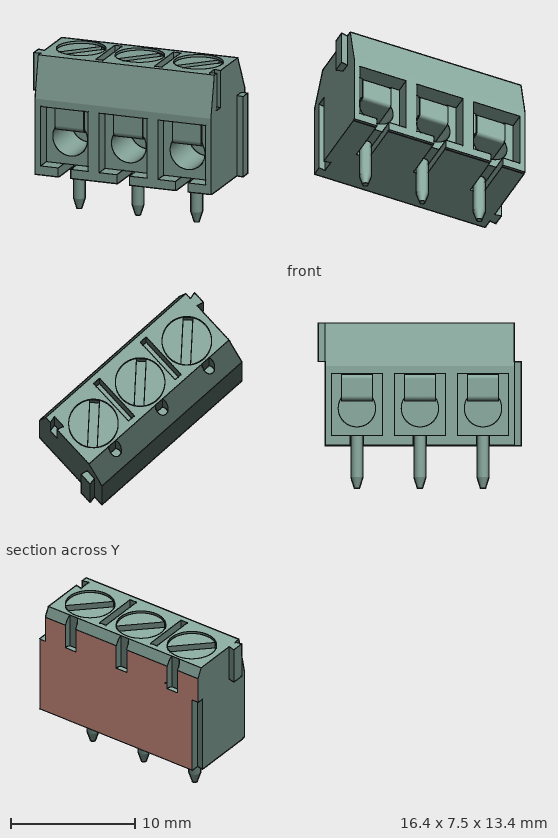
import cadquery as cq
import math


OVERALL_LENGTH = 16.4
POLES = 3
PITCH = 5.08
ROW_SHIFT = 0.02
LENGTH = POLES * PITCH
DEPTH = 7.5
HEIGHT = 9.92
FRONT_SLOPE_FOOT = 6.43
FRONT_SLOPE_RUN = 0.75
BACK_SLOPE_FOOT = 6.95
BACK_SLOPE_RUN = 1.55
BACK_RIDGE_Y = DEPTH - BACK_SLOPE_RUN
FRONT_RELIEF_DEPTH = 0.2
FRONT_RELIEF_HEIGHT = 0.05
POLE_X = [(i - (POLES - 1) / 2) * PITCH + ROW_SHIFT for i in range(POLES)]
GAP_X = [(left + right) / 2 for left, right in zip(POLE_X, POLE_X[1:])]

DOVETAIL_REACH = (OVERALL_LENGTH - LENGTH) / 2
DOVETAIL_WIDE = 1.08
FRONT_DOVETAIL_NECK = 0.8
FRONT_DOVETAIL_Y = 1.7
BACK_DOVETAIL_NECK = 0.89
BACK_DOVETAIL_Y = 6.17
DOVETAIL_SPLIT_Z = 6.79

ENTRY_WIDTH = 4.13
ENTRY_BOTTOM = 0.82
ENTRY_TOP = 5.84
ENTRY_DEPTH = 1.28
WIRE_HOLE_RADIUS = 1.51
WIRE_HOLE_Z = 3.03
WIRE_HOLE_DEPTH = 4.1

CLAMP_WIDTH = 2.5
CLAMP_BOTTOM = 3.62
CLAMP_TOP = 5.77
CLAMP_ROUND = 0.36
CLAMP_PROUD = 0.2

PIN_Y = 3.3
PIN_RADIUS = 0.5
PIN_LENGTH = 3.43
PIN_TIP_LENGTH = 0.89
PIN_TIP_RADIUS = 0.21
PIN_SLOT_WIDTH = 1.08

SCREW_Y = 3.69
SCREW_RADIUS = 2.0
SCREW_RECESS = 0.2
DRIVE_WIDTH = 0.79
DRIVE_DEPTH = 0.95
DRIVE_ANGLE = 45

GROOVE_WIDTH = 0.64
GROOVE_FRONT_Y = 1.26
GROOVE_BACK_Y = 5.45
GROOVE_DEPTH = 1.97
TEST_HOLE_RADIUS = 0.51
TEST_HOLE_Y = 6.28


def box(x_range, y_range, z_range):
    (x0, x1), (y0, y1), (z0, z1) = x_range, y_range, z_range
    return cq.Workplane("XY").box(x1 - x0, y1 - y0, z1 - z0, centered=False).translate((x0, y0, z0))


def centered_box(x, width, y_range, z_range):
    return box((x - width / 2, x + width / 2), y_range, z_range)


def cylinder(x, y, radius, bottom, top):
    return cq.Workplane("XY", origin=(x, y, bottom)).circle(radius).extrude(top - bottom)


def housing():
    profile = [
        (0, FRONT_RELIEF_HEIGHT),
        (FRONT_RELIEF_DEPTH, FRONT_RELIEF_HEIGHT),
        (FRONT_RELIEF_DEPTH, 0),
        (DEPTH, 0),
        (DEPTH, BACK_SLOPE_FOOT),
        (BACK_RIDGE_Y, HEIGHT),
        (FRONT_SLOPE_RUN, HEIGHT),
        (0, FRONT_SLOPE_FOOT),
    ]
    return cq.Workplane("YZ").polyline(profile).close().extrude(LENGTH / 2, both=True)


def dovetail(root_x, direction, y, neck, z_range):
    """Prism narrow at root_x and wide at its far end; direction is the sign of X it points to."""
    tip_x = root_x + direction * DOVETAIL_REACH
    outline = [
        (root_x, y - neck / 2),
        (tip_x, y - DOVETAIL_WIDE / 2),
        (tip_x, y + DOVETAIL_WIDE / 2),
        (root_x, y + neck / 2),
    ]
    bottom, top = z_range
    return cq.Workplane("XY", origin=(0, 0, bottom)).polyline(outline).close().extrude(top - bottom)


def front_dovetail(root_x):
    return dovetail(root_x, -1, FRONT_DOVETAIL_Y, FRONT_DOVETAIL_NECK, (DOVETAIL_SPLIT_Z, HEIGHT))


def back_dovetail(root_x):
    return dovetail(root_x, 1, BACK_DOVETAIL_Y, BACK_DOVETAIL_NECK, (0, DOVETAIL_SPLIT_Z))


def wire_entry(x):
    """Rectangular recess, with a round wire hole and a clamp window in its back wall."""
    hole_range = (ENTRY_DEPTH, ENTRY_DEPTH + WIRE_HOLE_DEPTH)
    recess = centered_box(x, ENTRY_WIDTH, (0, ENTRY_DEPTH), (ENTRY_BOTTOM, ENTRY_TOP))
    window = centered_box(x, CLAMP_WIDTH, hole_range, (WIRE_HOLE_Z, ENTRY_TOP))
    hole = (
        cq.Workplane("XZ", origin=(x, ENTRY_DEPTH, WIRE_HOLE_Z))
        .circle(WIRE_HOLE_RADIUS)
        .extrude(-WIRE_HOLE_DEPTH)
    )
    return recess.union(window).union(hole)


def clamp(x):
    """Plate standing slightly proud of the recess wall, its upper and lower front edges rounded."""
    y_range = (ENTRY_DEPTH - CLAMP_PROUD, ENTRY_DEPTH + WIRE_HOLE_DEPTH)
    plate = centered_box(x, CLAMP_WIDTH, y_range, (CLAMP_BOTTOM, CLAMP_TOP))
    return plate.faces("<Y").edges("|X").fillet(CLAMP_ROUND)


def pin_slot(x):
    return centered_box(x, PIN_SLOT_WIDTH, (0, PIN_Y + PIN_SLOT_WIDTH / 2), (0, ENTRY_BOTTOM))


def pin(x):
    """Round pin hanging from the roof of its slot, with a tapered tip."""
    profile = [
        (0, ENTRY_BOTTOM),
        (PIN_RADIUS, ENTRY_BOTTOM),
        (PIN_RADIUS, PIN_TIP_LENGTH - PIN_LENGTH),
        (PIN_TIP_RADIUS, -PIN_LENGTH),
        (0, -PIN_LENGTH),
    ]
    turned = cq.Workplane("XZ").polyline(profile).close().revolve(360, (0, 0, 0), (0, 1, 0))
    return turned.translate((x, PIN_Y, 0))


def screw_recess(x):
    """Shallow round recess down to the screw head, with the driver slot cut into the head."""
    head_top = HEIGHT - SCREW_RECESS
    drive_length = 2 * math.sqrt(SCREW_RADIUS**2 - (DRIVE_WIDTH / 2) ** 2)
    drive = (
        cq.Workplane("XY")
        .box(drive_length, DRIVE_WIDTH, DRIVE_DEPTH, centered=(True, True, False))
        .rotate((0, 0, 0), (0, 0, 1), DRIVE_ANGLE)
        .translate((x, SCREW_Y, head_top - DRIVE_DEPTH))
    )
    return cylinder(x, SCREW_Y, SCREW_RADIUS, head_top, HEIGHT).union(drive)


def test_hole(x):
    """Flat-bottomed hole in the back slope, stopped at the ridge."""
    hole = cylinder(x, TEST_HOLE_Y, TEST_HOLE_RADIUS, BACK_SLOPE_FOOT, HEIGHT)
    behind_ridge = centered_box(x, PITCH, (BACK_RIDGE_Y, DEPTH), (0, HEIGHT))
    return hole.intersect(behind_ridge)


def groove(x):
    return centered_box(x, GROOVE_WIDTH, (GROOVE_FRONT_Y, GROOVE_BACK_Y), (HEIGHT - GROOVE_DEPTH, HEIGHT))


result = housing()
result = result.cut(front_dovetail(LENGTH / 2)).cut(back_dovetail(-LENGTH / 2))
result = result.union(front_dovetail(-LENGTH / 2)).union(back_dovetail(LENGTH / 2))
for pole_x in POLE_X:
    for cavity in (wire_entry, pin_slot, screw_recess, test_hole):
        result = result.cut(cavity(pole_x))
    for metal in (clamp, pin):
        result = result.union(metal(pole_x))
for gap_x in GAP_X:
    result = result.cut(groove(gap_x))